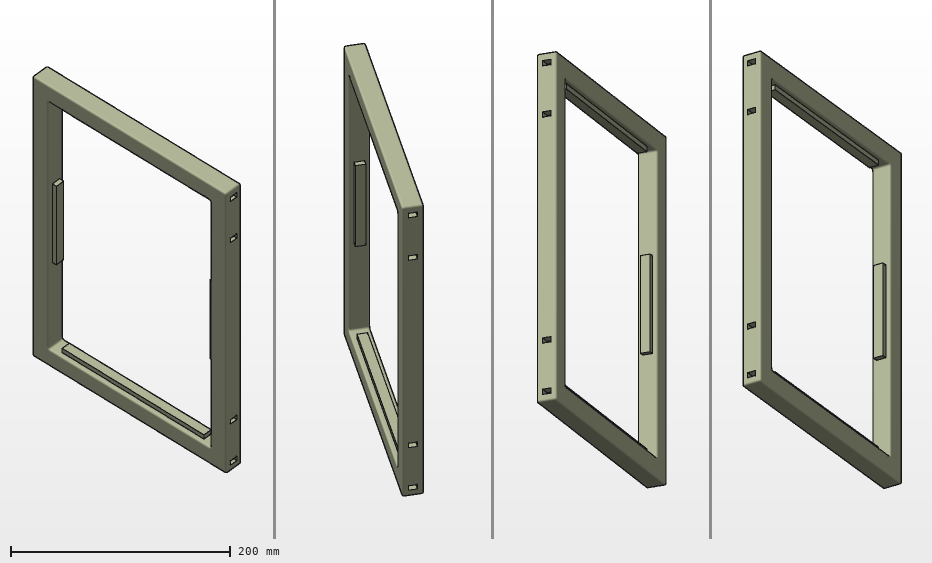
import cadquery as cq

HEIGHT = 340.0
WIDTH = 240.0
DEPTH = 20.0
RAIL = 20.0
EDGE_RADIUS = 2.0

LEDGE_RISE = 5.0
LEDGE_DEPTH = 10.0
HORIZONTAL_LEDGE = 175.5
VERTICAL_LEDGE = 95.2

POCKET_WIDTH = 8.0
POCKET_HEIGHT = 5.0
POCKET_DEPTH = 10.0
POCKET_OFFSETS = (110.0, 160.0)

OPENING_WIDTH = WIDTH - 2 * RAIL
OPENING_HEIGHT = HEIGHT - 2 * RAIL


def make_frame():
    """Ring with every outer and opening edge rounded."""
    outer = cq.Workplane("XY").box(WIDTH, DEPTH, HEIGHT)
    opening = cq.Workplane("XY").box(OPENING_WIDTH, DEPTH, OPENING_HEIGHT)
    return outer.cut(opening).edges().fillet(EDGE_RADIUS)


def make_ledges():
    """Four strips standing proud of the inner walls, halfway through the depth."""
    inset = LEDGE_RISE / 2
    side_x = OPENING_WIDTH / 2 - inset
    end_z = OPENING_HEIGHT / 2 - inset
    horizontal = cq.Workplane("XY").box(HORIZONTAL_LEDGE, LEDGE_DEPTH, LEDGE_RISE)
    vertical = cq.Workplane("XY").box(LEDGE_RISE, LEDGE_DEPTH, VERTICAL_LEDGE)
    ledges = cq.Workplane("XY")
    for side in (-1, 1):
        ledges = ledges.add(horizontal.translate((0, 0, side * end_z)))
        ledges = ledges.add(vertical.translate((side * side_x, 0, 0)))
    return ledges.combine()


def make_pockets():
    """Pocket cutters, mirrored left to right and top to bottom."""
    centre_x = (WIDTH - POCKET_DEPTH) / 2
    centres = [
        (side_x * centre_x, 0, side_z * offset)
        for side_x in (-1, 1)
        for side_z in (-1, 1)
        for offset in POCKET_OFFSETS
    ]
    return cq.Workplane("XY").pushPoints(centres).box(POCKET_DEPTH, POCKET_WIDTH, POCKET_HEIGHT)


result = make_frame().union(make_ledges()).cut(make_pockets())